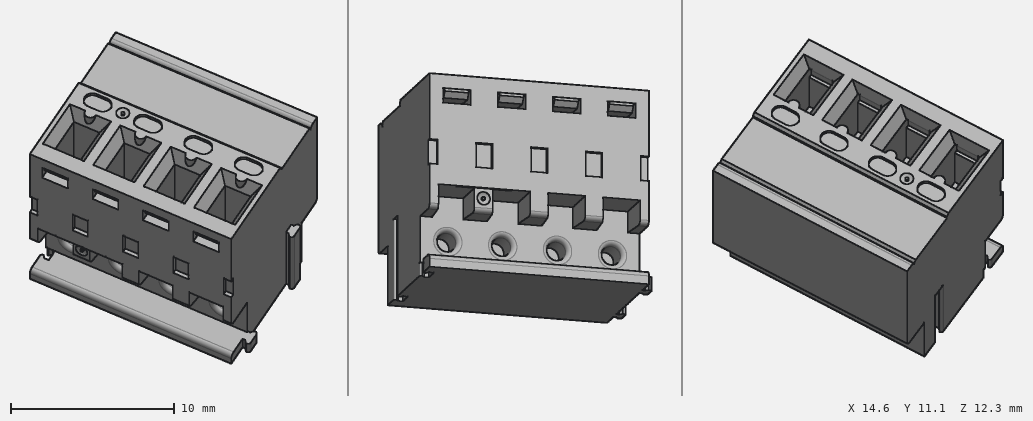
import cadquery as cq
import math


POLES = 4
PITCH = 3.5
WIDTH = POLES * PITCH
DEPTH = 11.1
HEIGHT = 12.3
POLE_CENTRES = [(i + 0.5) * PITCH for i in range(POLES)]
POLE_BORDERS = [i * PITCH for i in range(POLES + 1)]

STEM_FRONT = 2.04
STEM_BACK = 9.1
SHOULDER_Z = 3.76
RAIL_TOP = 0.85
EDGE_RADIUS = 0.3

REAR_TOP = 11.97
STEP_Y = 6.49
STEP_CHAMFER = 0.19

GROOVE_Y = 10.26
GROOVE_CHAMFER = 0.17
GROOVE_RADIUS = 0.29

DOVETAIL_YS = {1.8: RAIL_TOP, 7.4: 5.12}
PIN_LENGTH = 0.58
NECK_HALF = 0.34
HEAD_HALF = 0.54
NECK_LENGTH = 0.17
FLARE_END = 0.35
HEAD_ROUNDING = 0.17
SLOT_DEPTH = 0.64
MOUTH_RADIUS = 0.16

ENTRY_FRONT = 1.1
ENTRY_BACK = 4.59
ENTRY_WIDTH = 2.86
PIT_FRONT = 1.34
PIT_BACK = 4.1
PIT_WIDTH = 1.78
FUNNEL_BOTTOM = 11.43
PIT_FLOOR = 7.29
NUB_DIAMETER = 0.75

OVAL_Y = 5.51
OVAL_LENGTH = 1.81
OVAL_WIDTH = 1.1
OVAL_DEPTH = 0.2

WINDOW_BOTTOM = 10.5
LATCH_WIDTH = 1.52
LATCH_BOTTOM = 10.89
LATCH_NOSE_BOTTOM = 11.25
LATCH_NOSE_Y = 0.05
LATCH_UNDERSIDE_Y = 0.32

POCKET_WIDTH = 1.05
POCKET_BOTTOM = 6.56
POCKET_TOP = 8.12
POCKET_DEPTH = 0.28

NOTCH_WIDTH = 2.36
NOTCH_TOP = 5.29
NOTCH_TAPER = 0.19

HOLE_Z = 2.3
HOLE_DIAMETER = 1.2
HOLE_MOUTH_RADIUS = 0.3
HOLE_DEPTH = 1.75

DIMPLE_X = PITCH
DIMPLE_FRONT_Z = 4.67
DIMPLE_DIAMETER = 0.82
DIMPLE_DEPTH = 0.15
PIP_DIAMETER = 0.2
POST_SETBACK = 0.17

ARC_MID = 1 - math.sqrt(0.5)


def box(x0, x1, y0, y1, z0, z1):
    return cq.Workplane("XY").box(x1 - x0, y1 - y0, z1 - z0, centered=False).translate((x0, y0, z0))


def body():
    r = EDGE_RADIUS
    m = r * ARC_MID
    g = GROOVE_RADIUS
    profile = (
        cq.Workplane("YZ")
        .moveTo(0, 0)
        .lineTo(0, RAIL_TOP - r)
        .threePointArc((m, RAIL_TOP - m), (r, RAIL_TOP))
        .lineTo(STEM_FRONT, RAIL_TOP)
        .lineTo(STEM_FRONT, SHOULDER_Z)
        .lineTo(r, SHOULDER_Z)
        .threePointArc((m, SHOULDER_Z + m), (0, SHOULDER_Z + r))
        .lineTo(0, HEIGHT)
        .lineTo(STEP_Y - STEP_CHAMFER, HEIGHT)
        .lineTo(STEP_Y, HEIGHT - STEP_CHAMFER)
        .lineTo(STEP_Y, REAR_TOP)
        .lineTo(GROOVE_Y - GROOVE_CHAMFER, REAR_TOP)
        .lineTo(GROOVE_Y, REAR_TOP - GROOVE_CHAMFER)
        .lineTo(GROOVE_Y, REAR_TOP - g)
        .threePointArc((GROOVE_Y + g * ARC_MID, REAR_TOP - g * ARC_MID), (GROOVE_Y + g, REAR_TOP))
        .lineTo(DEPTH, REAR_TOP)
        .lineTo(DEPTH, SHOULDER_Z + r)
        .threePointArc((DEPTH - m, SHOULDER_Z + m), (DEPTH - r, SHOULDER_Z))
        .lineTo(STEM_BACK, SHOULDER_Z)
        .lineTo(STEM_BACK, 0)
        .close()
    )
    return profile.extrude(WIDTH)


def dovetail_pin(y, top):
    pin = (
        cq.Workplane("XY")
        .polyline([
            (0, -NECK_HALF), (NECK_LENGTH, -NECK_HALF), (FLARE_END, -HEAD_HALF), (PIN_LENGTH, -HEAD_HALF),
            (PIN_LENGTH, HEAD_HALF), (FLARE_END, HEAD_HALF), (NECK_LENGTH, NECK_HALF), (0, NECK_HALF),
        ])
        .close()
        .extrude(top)
        .edges("|Z and >X")
        .fillet(HEAD_ROUNDING)
    )
    return pin.translate((WIDTH, y, 0))


def dovetail_slot(y, top):
    r = MOUTH_RADIUS
    m = r * ARC_MID
    mouth = NECK_HALF + r
    slot = (
        cq.Workplane("XY")
        .moveTo(0, -mouth)
        .threePointArc((m, -NECK_HALF - m), (r, -NECK_HALF))
        .lineTo(NECK_LENGTH, -NECK_HALF)
        .lineTo(FLARE_END, -HEAD_HALF)
        .lineTo(SLOT_DEPTH, -HEAD_HALF)
        .lineTo(SLOT_DEPTH, HEAD_HALF)
        .lineTo(FLARE_END, HEAD_HALF)
        .lineTo(NECK_LENGTH, NECK_HALF)
        .lineTo(r, NECK_HALF)
        .threePointArc((m, NECK_HALF + m), (0, mouth))
        .close()
        .extrude(top)
    )
    return slot.translate((0, y, 0))


def wire_entry(x):
    entry_centre = (ENTRY_FRONT + ENTRY_BACK) / 2
    pit_centre = (PIT_FRONT + PIT_BACK) / 2
    pit_length = PIT_BACK - PIT_FRONT
    funnel = (
        cq.Workplane("XY", origin=(x, 0, FUNNEL_BOTTOM))
        .center(0, pit_centre)
        .rect(PIT_WIDTH, pit_length)
        .workplane(offset=HEIGHT - FUNNEL_BOTTOM)
        .center(0, entry_centre - pit_centre)
        .rect(ENTRY_WIDTH, ENTRY_BACK - ENTRY_FRONT)
        .loft(ruled=True)
    )
    nub = (
        cq.Workplane("XY", origin=(x, ENTRY_BACK, FUNNEL_BOTTOM))
        .circle(NUB_DIAMETER / 2)
        .extrude(HEIGHT - FUNNEL_BOTTOM)
    )
    half = PIT_WIDTH / 2
    pit = box(x - half, x + half, PIT_FRONT, PIT_BACK, PIT_FLOOR, FUNNEL_BOTTOM)
    return funnel.cut(nub).union(pit)


def oval_recess(x):
    return (
        cq.Workplane("XY", origin=(x, OVAL_Y, HEIGHT - OVAL_DEPTH))
        .slot2D(OVAL_LENGTH, OVAL_WIDTH)
        .extrude(OVAL_DEPTH)
    )


def latch_window(x):
    half = PIT_WIDTH / 2
    window = box(x - half, x + half, 0, PIT_FRONT, WINDOW_BOTTOM, FUNNEL_BOTTOM)
    latch = (
        cq.Workplane("YZ", origin=(x - LATCH_WIDTH / 2, 0, 0))
        .polyline([
            (LATCH_NOSE_Y, FUNNEL_BOTTOM), (LATCH_NOSE_Y, LATCH_NOSE_BOTTOM),
            (LATCH_UNDERSIDE_Y, LATCH_BOTTOM), (PIT_FRONT, LATCH_BOTTOM), (PIT_FRONT, FUNNEL_BOTTOM),
        ])
        .close()
        .extrude(LATCH_WIDTH)
    )
    return window.cut(latch)


def border_pocket(x):
    half = POCKET_WIDTH / 2
    return box(x - half, x + half, 0, POCKET_DEPTH, POCKET_BOTTOM, POCKET_TOP)


def tapered_notch(x):
    front_height = NOTCH_TOP - SHOULDER_Z
    back_height = front_height - NOTCH_TAPER
    return (
        cq.Workplane("XZ", origin=(x, 0, SHOULDER_Z))
        .center(0, front_height / 2)
        .rect(NOTCH_WIDTH, front_height)
        .workplane(offset=-STEM_FRONT)
        .center(0, (back_height - front_height) / 2)
        .rect(NOTCH_WIDTH - 2 * NOTCH_TAPER, back_height)
        .loft(ruled=True)
    )


def front_hole(x):
    r = HOLE_DIAMETER / 2
    f = HOLE_MOUTH_RADIUS
    m = f * ARC_MID
    return (
        cq.Workplane("XY", origin=(x, STEM_FRONT, HOLE_Z))
        .moveTo(0, 0)
        .lineTo(r + f, 0)
        .threePointArc((r + m, m), (r, f))
        .lineTo(r, HOLE_DEPTH)
        .lineTo(0, HOLE_DEPTH)
        .close()
        .revolve(360, (0, 0, 0), (0, 1, 0))
    )


def dimple():
    """Spherical dimple around a standing pip, opening at the origin and going down along -Z."""
    rim = DIMPLE_DIAMETER / 2
    pip = PIP_DIAMETER / 2
    sphere = (rim**2 + DIMPLE_DEPTH**2) / (2 * DIMPLE_DEPTH)
    centre_z = sphere - DIMPLE_DEPTH

    def bowl_z(radius):
        return centre_z - math.sqrt(sphere**2 - radius**2)

    middle = (rim + pip) / 2
    return (
        cq.Workplane("XZ")
        .moveTo(pip, 0)
        .lineTo(rim, 0)
        .threePointArc((middle, bowl_z(middle)), (pip, bowl_z(pip)))
        .close()
        .revolve(360, (0, 0, 0), (0, 1, 0))
    )


def post_setback():
    """Clearance in front of the dimple post, leaving its lower edge rounded like the rest of the wall."""
    half = PITCH / 2
    x0 = DIMPLE_X - half
    x1 = DIMPLE_X + half
    clearance = box(x0, x1, 0, POST_SETBACK + EDGE_RADIUS, SHOULDER_Z, NOTCH_TOP)
    post = box(x0, x1, POST_SETBACK, STEM_FRONT, SHOULDER_Z, HEIGHT)
    return clearance.cut(post.edges("|X and <Y and <Z").fillet(EDGE_RADIUS))


result = body()

for y, top in DOVETAIL_YS.items():
    result = result.union(dovetail_pin(y, top)).cut(dovetail_slot(y, top))

for x in POLE_CENTRES:
    for feature in (wire_entry, oval_recess, latch_window, tapered_notch, front_hole):
        result = result.cut(feature(x))

for x in POLE_BORDERS:
    result = result.cut(border_pocket(x))

result = result.cut(post_setback())

top_dimple = dimple().translate((DIMPLE_X, OVAL_Y, HEIGHT))
front_dimple = dimple().rotate((0, 0, 0), (1, 0, 0), 90).translate((DIMPLE_X, POST_SETBACK, DIMPLE_FRONT_Z))
result = result.cut(top_dimple).cut(front_dimple)